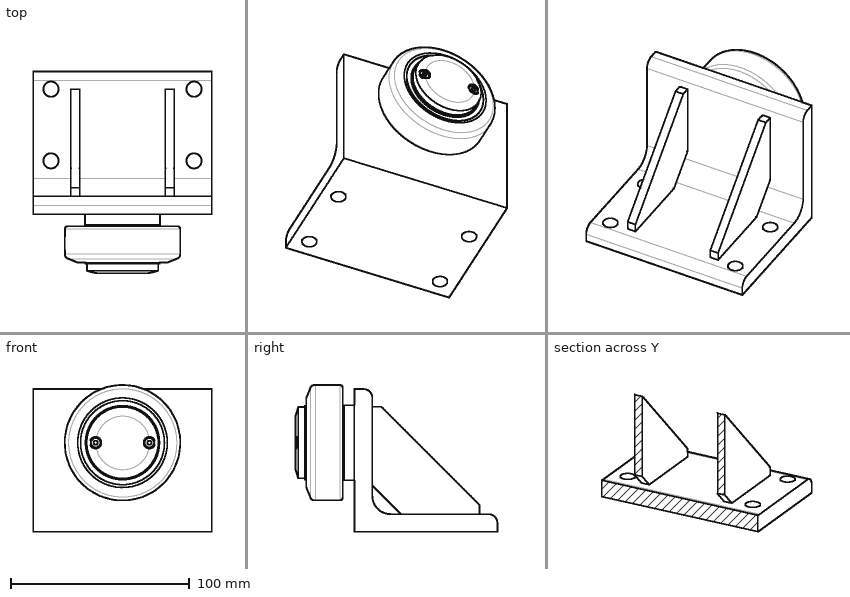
import cadquery as cq

width = 100.0
leg = 80.0
thickness = 10.1
inner_radius = 10.1
edge_radius = 5.0

mount_diameter = 8.4
mount_x = 40.0
mount_rows_y = (30.0, 70.1)

rib_thickness = 5.0
rib_x = 26.4
rib_reach = 70.1
rib_flat = 15.0
rib_corner_gap = 15.7

axis_z = 50.0
neck_radius = 42.0 / 2
groove_radius = 41.5 / 2
groove_start = 5.8
wheel_crown_radius = 64.9 / 2
wheel_edge_radius = 32.3
wheel_back = 6.5
wheel_front = 27.0
back_round = 1.6
shoulder_start = 22.0
shoulder_mid = (23.8, 31.9)
shoulder_end = (24.9, 30.3)
rim_radius = 25.1
recess_radius = 47.0 / 2
recess_depth = 0.5
collar_radius = 41.5 / 2
collar_front = 27.7
hub_radius = 40.0 / 2
hub_shoulder = 31.5
hub_front = 33.0
hub_face_radius = 15.0

screw_x = 15.0
screw_pocket_diameter = 6.5
screw_head_diameter = 5.3
screw_pocket_depth = 0.9
screw_head_depth = 0.5
centre_diameter = 2.3


def make_angle():
    """L section with a rounded inner corner and rounded inner end edges."""
    profile = (
        cq.Workplane("YZ")
        .polyline([
            (0, 0), (leg, 0), (leg, thickness),
            (thickness, thickness), (thickness, leg), (0, leg),
        ])
        .close()
        .extrude(width / 2, both=True)
    )
    corner = cq.selectors.NearestToPointSelector((0, thickness, thickness))
    base_end = cq.selectors.NearestToPointSelector((0, leg, thickness))
    wall_end = cq.selectors.NearestToPointSelector((0, thickness, leg))
    angle = profile.edges(corner).fillet(inner_radius)
    angle = angle.edges(base_end).fillet(edge_radius)
    return angle.edges(wall_end).fillet(edge_radius)


def drill_mounting_holes(body):
    points = [(side * mount_x, y) for side in (-1, 1) for y in mount_rows_y]
    holes = cq.Workplane("XY").pushPoints(points).circle(mount_diameter / 2).extrude(thickness)
    return body.cut(holes)


def make_rib(x):
    """Triangular gusset, cut back at the inner corner of the angle."""
    return (
        cq.Workplane("YZ", origin=(x, 0, 0))
        .moveTo(thickness, thickness + rib_corner_gap)
        .lineTo(thickness, rib_reach)
        .lineTo(rib_flat, rib_reach)
        .lineTo(rib_reach, rib_flat)
        .lineTo(rib_reach, thickness)
        .lineTo(thickness + rib_corner_gap, thickness)
        .close()
        .extrude(rib_thickness / 2, both=True)
    )


def make_roller():
    """Neck, wheel and hub turned about an axis parallel to Y."""
    recess_floor = wheel_front - recess_depth
    crown_middle = (wheel_back + back_round + shoulder_start) / 2
    half_section = (
        cq.Workplane("XY", origin=(0, 0, axis_z))
        .lineTo(neck_radius, 0)
        .lineTo(neck_radius, -groove_start)
        .lineTo(groove_radius, -groove_start)
        .lineTo(groove_radius, -wheel_back)
        .lineTo(wheel_edge_radius - back_round, -wheel_back)
        .radiusArc((wheel_edge_radius, -wheel_back - back_round), back_round)
        .threePointArc(
            (wheel_crown_radius, -crown_middle),
            (wheel_edge_radius, -shoulder_start),
        )
        .threePointArc(
            (shoulder_mid[1], -shoulder_mid[0]),
            (shoulder_end[1], -shoulder_end[0]),
        )
        .lineTo(rim_radius, -wheel_front)
        .lineTo(recess_radius, -wheel_front)
        .lineTo(recess_radius, -recess_floor)
        .lineTo(collar_radius, -recess_floor)
        .lineTo(collar_radius, -collar_front)
        .lineTo(hub_radius, -collar_front)
        .lineTo(hub_radius, -hub_shoulder)
        .lineTo(hub_face_radius, -hub_front)
        .lineTo(0, -hub_front)
        .close()
    )
    return half_section.revolve(360, (0, 0, 0), (0, 1, 0))


def make_screw_pocket(x):
    """Cutter: round pocket around a sunken screw head with a small centre hole."""
    face = cq.Workplane("XZ", origin=(x, -hub_front, axis_z))
    pocket = face.circle(screw_pocket_diameter / 2).extrude(-screw_pocket_depth)
    head = (
        face.workplane(offset=-screw_head_depth)
        .circle(screw_head_diameter / 2)
        .circle(centre_diameter / 2)
        .extrude(screw_head_depth - screw_pocket_depth)
    )
    return pocket.cut(head)


result = drill_mounting_holes(make_angle())
for side in (-1, 1):
    result = result.union(make_rib(side * rib_x))
result = result.union(make_roller())
for side in (-1, 1):
    result = result.cut(make_screw_pocket(side * screw_x))